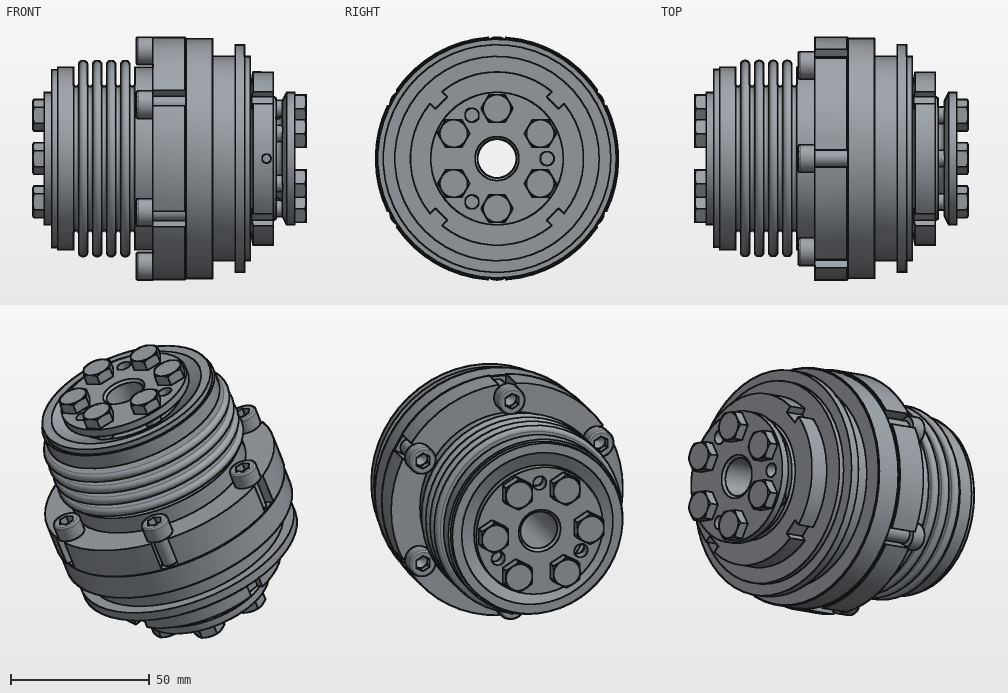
import cadquery as cq
import math


LENGTH = 99.0
BORE_D = 14.0
BORE_CHAMFER = 1.0

X_RIM = 6.8
X_HUB = 9.0
X_BELLOWS = 14.8
X_FLANGE = 43.5
X_PLATE = 55.3
X_DRUM = 65.2
X_WASHER = 73.3
X_RING = 76.7
X_NUT = 78.8
X_NUT_END = 87.1

RIM_D = 64.5
HUB_D = 66.2
FLANGE_D = 88.0
PLATE_D = 87.0
DRUM_D = 74.25
WASHER_D = 82.5
RING_D = 74.1
EDGE_CHAMFER = 0.3

WAVES = 4
WAVE_WIDTH = 3.3
GROOVE_WIDTH = 1.82
WAVE_TIP_CENTER_D = 67.8
GROOVE_BOTTOM_D = 52.3
X_COLLAR = X_BELLOWS + WAVES * WAVE_WIDTH + (WAVES + 1) * GROOVE_WIDTH

CAP_COUNT = 6
FIRST_CAP_ANGLE = 90
CAP_CIRCLE_R = 39.0
CAP_HEAD_D = 10.0
CAP_HEAD_H = 5.9
CAP_EDGE = 0.64
CAP_SHANK_D = 6.0
SOCKET_FLATS = 5.0
SOCKET_DEPTH = 3.0
SOCKET_CONE_H = 1.5
SLOT_W = 6.4

NUT_D = 62.8
NUT_FACE_D = 52.3
NUT_CONE_L = 1.0
NUT_COLLAR_D = 45.0
NUT_COLLAR_L = 1.0
NUT_COLLAR_TAPER = 0.7
NOTCH_COUNT = 4
FIRST_NOTCH_ANGLE = 45
NOTCH_W = 6.1
NOTCH_FLOOR_R = 28.5
PIN_HOLE_D = 3.3
PIN_HOLE_DEPTH = 2.0
PIN_HOLE_X = 84.6

HEX_FLATS = 10.0
HEX_H = 4.1
HEX_TRIM_ANGLE = 30.0
DISC_D = 48.0
DISC_RIM_END = 7.0
DISC_CONE_END = 8.6
DISC_CONE_D = 41.6
CLAMP_DEPTH = 11.0
CLAMP_SCREWS = 6
CLAMP_CIRCLE_R = 18.1
CLAMP_SHANK_D = 6.0
JACK_HOLES = 3
JACK_HOLE_D = 5.0
FIRST_JACK_ANGLE = 90
FAR_CLAMP_TURN = 30
NECK_D = 28.5
NECK_FOOT_D = 31.7
NECK_SAG = 0.4
POCKET_D = 57.4
POCKET_FLOOR_D = 40.0

JOIN = 0.5


def cylinder(x, length, diameter, y=0.0, z=0.0):
    """Cylinder along +X that starts at x."""
    return cq.Workplane("YZ", origin=(x, y, z)).circle(diameter / 2).extrude(length)


def hexagon(x, length, flats, y=0.0, z=0.0):
    """Hexagonal prism along +X with two corners pointing along Z."""
    corners = flats / math.cos(math.pi / 6)
    prism = cq.Workplane("YZ").polygon(6, corners).extrude(length)
    return prism.rotate((0, 0, 0), (1, 0, 0), 30).translate((x, y, z))


def cone(x, length, start_d, end_d):
    """Cone along +X that starts at x; end_d may be zero."""
    solid = cq.Solid.makeCone(start_d / 2, end_d / 2, length, cq.Vector(x, 0, 0), cq.Vector(1, 0, 0))
    return cq.Workplane(solid)


def circle_points(count, radius, first_angle):
    """(y, z) points evenly spaced around the axis; angle 0 is +Y."""
    angles = [math.radians(first_angle + i * 360 / count) for i in range(count)]
    return [(radius * math.cos(a), radius * math.sin(a)) for a in angles]


def bellows_hub():
    """Hub rim, bellows and collar as one revolved outline."""
    tip_r = WAVE_TIP_CENTER_D / 2
    root_r = (GROOVE_BOTTOM_D + GROOVE_WIDTH) / 2
    outline = (
        cq.Workplane("XY").moveTo(X_RIM, 0)
        .lineTo(X_RIM, RIM_D / 2).lineTo(X_HUB, RIM_D / 2)
        .lineTo(X_HUB, HUB_D / 2).lineTo(X_BELLOWS, HUB_D / 2)
    )
    x = X_BELLOWS
    for i in range(WAVES + 1):
        outline = outline.lineTo(x, root_r).threePointArc(
            (x + GROOVE_WIDTH / 2, GROOVE_BOTTOM_D / 2), (x + GROOVE_WIDTH, root_r))
        x += GROOVE_WIDTH
        if i < WAVES:
            outline = outline.lineTo(x, tip_r).threePointArc(
                (x + WAVE_WIDTH / 2, tip_r + WAVE_WIDTH / 2), (x + WAVE_WIDTH, tip_r))
            x += WAVE_WIDTH
    outline = (
        outline.lineTo(X_COLLAR, HUB_D / 2).lineTo(X_FLANGE + JOIN, HUB_D / 2)
        .lineTo(X_FLANGE + JOIN, 0).close()
    )
    return outline.revolve(360, (0, 0, 0), (1, 0, 0))


def slotted_flange():
    """Flange with radial slots that are open at its edge."""
    flange = cylinder(X_FLANGE, X_PLATE - X_FLANGE, FLANGE_D).faces(">X").chamfer(EDGE_CHAMFER)
    slot_length = FLANGE_D / 2
    slot = (
        cq.Workplane("YZ", origin=(X_FLANGE, CAP_CIRCLE_R + slot_length / 2, 0))
        .rect(slot_length, SLOT_W).extrude(X_PLATE - X_FLANGE)
        .union(cylinder(X_FLANGE, X_PLATE - X_FLANGE, SLOT_W, CAP_CIRCLE_R))
    )
    for i in range(CAP_COUNT):
        flange = flange.cut(slot.rotate((0, 0, 0), (1, 0, 0), FIRST_CAP_ANGLE + i * 360 / CAP_COUNT))
    return flange


def cap_screw():
    """Socket head cap screw on the X axis, head at the -X end."""
    x_head = X_FLANGE - CAP_HEAD_H
    head = cylinder(x_head, CAP_HEAD_H, CAP_HEAD_D).faces("<X").edges().fillet(CAP_EDGE)
    socket = hexagon(x_head, SOCKET_DEPTH, SOCKET_FLATS)
    drill_point = cone(x_head + SOCKET_DEPTH, SOCKET_CONE_H, SOCKET_FLATS, 0)
    shank = cylinder(X_FLANGE, X_PLATE - X_FLANGE + JOIN, CAP_SHANK_D)
    return head.cut(socket).cut(drill_point).union(shank)


def turned_plates():
    """Round steps between the slotted flange and the nut."""
    plate = cylinder(X_PLATE, X_DRUM - X_PLATE, PLATE_D).faces("<X or >X").chamfer(EDGE_CHAMFER)
    drum = cylinder(X_DRUM, X_WASHER - X_DRUM, DRUM_D)
    washer = cylinder(X_WASHER, X_RING - X_WASHER, WASHER_D)
    ring = cylinder(X_RING, X_NUT - X_RING, RING_D)
    return plate.union(drum).union(washer).union(ring)


def slotted_nut():
    """Nut with diagonal notches, a coned back, a small collar and a radial pin hole."""
    x_body = X_NUT + NUT_CONE_L
    nut = cone(X_NUT, NUT_CONE_L, NUT_FACE_D, NUT_D)
    nut = nut.union(cylinder(x_body, X_NUT_END - x_body, NUT_D))
    notch = (
        cq.Workplane("YZ", origin=(X_NUT, NOTCH_FLOOR_R + NUT_D / 2, 0))
        .rect(NUT_D, NOTCH_W).extrude(X_NUT_END - X_NUT)
    )
    for i in range(NOTCH_COUNT):
        nut = nut.cut(notch.rotate((0, 0, 0), (1, 0, 0), FIRST_NOTCH_ANGLE + i * 360 / NOTCH_COUNT))
    nut = nut.union(cone(X_NUT_END, NUT_COLLAR_L, NUT_COLLAR_D, NUT_COLLAR_D - 2 * NUT_COLLAR_TAPER))
    pin_hole = (
        cq.Workplane("XZ", origin=(PIN_HOLE_X, -NUT_D / 2, 0))
        .circle(PIN_HOLE_D / 2).extrude(-PIN_HOLE_DEPTH)
    )
    return nut.cut(pin_hole)


def hex_head(y, z):
    """Hexagonal screw head whose outer corners are trimmed by a cone."""
    trim_growth = 2 * HEX_H / math.tan(math.radians(HEX_TRIM_ANGLE))
    trim = cone(0, HEX_H, HEX_FLATS, HEX_FLATS + trim_growth)
    return hexagon(0, HEX_H, HEX_FLATS).intersect(trim).translate((0, y, z))


def clamp_unit():
    """Clamp disc with screws and neck; its outer end is at X = 0."""
    disc = cylinder(HEX_H, DISC_RIM_END - HEX_H, DISC_D)
    disc = disc.union(cone(DISC_RIM_END, DISC_CONE_END - DISC_RIM_END, DISC_D, DISC_CONE_D))
    for y, z in circle_points(JACK_HOLES, CLAMP_CIRCLE_R, FIRST_JACK_ANGLE):
        disc = disc.cut(cylinder(HEX_H, DISC_CONE_END - HEX_H, JACK_HOLE_D, y, z))

    middle = ((DISC_CONE_END + CLAMP_DEPTH) / 2, (NECK_D + NECK_FOOT_D) / 4 - NECK_SAG)
    neck = (
        cq.Workplane("XY").moveTo(DISC_CONE_END, 0).lineTo(DISC_CONE_END, NECK_FOOT_D / 2)
        .threePointArc(middle, (CLAMP_DEPTH, NECK_D / 2))
        .lineTo(CLAMP_DEPTH + JOIN, NECK_D / 2).lineTo(CLAMP_DEPTH + JOIN, 0).close()
        .revolve(360, (0, 0, 0), (1, 0, 0))
    )
    unit = disc.union(neck)
    for y, z in circle_points(CLAMP_SCREWS, CLAMP_CIRCLE_R, 0):
        unit = unit.union(hex_head(y, z))
        unit = unit.union(cylinder(DISC_RIM_END, CLAMP_DEPTH - DISC_RIM_END + JOIN, CLAMP_SHANK_D, y, z))
    return unit


body = bellows_hub().cut(cone(X_RIM, CLAMP_DEPTH - X_RIM, POCKET_D, POCKET_FLOOR_D))
body = body.union(slotted_flange()).union(turned_plates()).union(slotted_nut())
for y, z in circle_points(CAP_COUNT, CAP_CIRCLE_R, FIRST_CAP_ANGLE):
    body = body.union(cap_screw().translate((0, y, z)))

near_clamp = clamp_unit()
far_clamp = near_clamp.mirror("YZ").rotate((0, 0, 0), (1, 0, 0), FAR_CLAMP_TURN).translate((LENGTH, 0, 0))
body = body.union(near_clamp).union(far_clamp)

body = body.cut(cylinder(0, LENGTH, BORE_D))
bevel_d = BORE_D + 2 * BORE_CHAMFER
body = body.cut(cone(HEX_H, BORE_CHAMFER, bevel_d, BORE_D))
body = body.cut(cone(LENGTH - HEX_H - BORE_CHAMFER, BORE_CHAMFER, BORE_D, bevel_d))

result = body